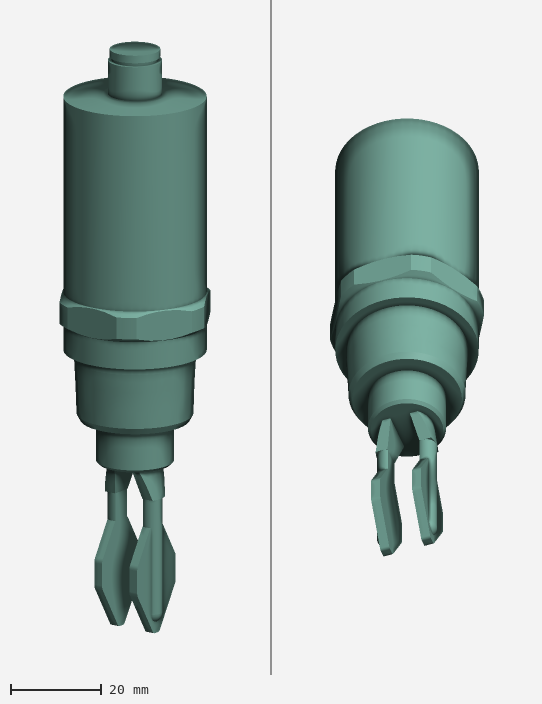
import cadquery as cq
import math

total_height = 132.9
tip_radius = 5.6
tip_bottom = 131.2
groove_radius = 5.2
plug_radius = 6.0
plug_top = 130.4
crown_radius = 7.2
crown_height = 122.7
body_radius = 15.8
body_top = 122.0
collar_bottom = 63.9
thread_radius = 13.4
taper_top = 61.9
taper_end_radius = 12.9
thread_chamfer = 0.8
thread_chamfer_top = 49.5
thread_bottom = 48.0
neck_radius = 8.6
neck_bottom = 38.0
neck_chamfer = 0.7

hex_across_flats = 32.0
hex_corner_diameter = 34.7
hex_corner_radius = hex_corner_diameter / 2
hex_bottom = 70.2
hex_top = 77.2
hex_chamfer_height = 1.0

root_radius = 6.1
root_half_width = 4.5
root_inner = 2.3
prong_inner = 3.7
prong_outer = 6.9
rod_diameter = 4.7
rod_radius = rod_diameter / 2
rod_axis = prong_outer - rod_radius
rod_top = 30.8
rod_end_center = 4.5
selection_margin = 0.7

blade_thickness = 2.1
blade_top = 24.5
blade_half_width = 7.2
blade_wide_top = 16.3
blade_wide_bottom = 10.1
blade_tip_half_width = 1.0
blade_corner_radius = 2.0
blade_tip_corner_radius = 0.8


def make_housing():
    """Revolve the stepped half profile around Z."""
    profile = [
        (0, neck_bottom),
        (neck_radius - neck_chamfer, neck_bottom),
        (neck_radius, neck_bottom + neck_chamfer),
        (neck_radius, thread_bottom),
        (taper_end_radius - thread_chamfer, thread_bottom),
        (taper_end_radius, thread_chamfer_top),
        (thread_radius, taper_top),
        (thread_radius, collar_bottom),
        (body_radius, collar_bottom),
        (body_radius, body_top),
        (crown_radius, crown_height),
        (plug_radius, crown_height),
        (plug_radius, plug_top),
        (groove_radius, plug_top),
        (groove_radius, tip_bottom),
        (tip_radius, tip_bottom),
        (tip_radius, total_height),
        (0, total_height),
    ]
    return cq.Workplane("XZ").polyline(profile).close().revolve(360, (0, 0), (0, 1))


def make_hexagon():
    """Hexagon with flats facing Y, its corners rounded and chamfered by turning."""
    across_corners = hex_across_flats / math.cos(math.pi / 6)
    hexagon = (
        cq.Workplane("XY", origin=(0, 0, hex_bottom))
        .polygon(6, across_corners)
        .extrude(hex_top - hex_bottom)
    )
    turned = (
        cq.Workplane("XY", origin=(0, 0, hex_bottom))
        .circle(hex_corner_radius)
        .extrude(hex_top - hex_bottom)
        .edges()
        .chamfer(hex_chamfer_height, hex_corner_radius - body_radius)
    )
    return hexagon.intersect(turned)


def make_root():
    """Tapered wedge of the +X prong, with a conical outer face about Z."""
    cone = (
        cq.Workplane("XZ")
        .polyline([(0, rod_top), (prong_outer, rod_top), (root_radius, neck_bottom), (0, neck_bottom)])
        .close()
        .revolve(360, (0, 0), (0, 1))
    )
    side_taper = (
        cq.Workplane("YZ")
        .polyline([
            (-rod_radius, rod_top),
            (rod_radius, rod_top),
            (root_half_width, neck_bottom),
            (-root_half_width, neck_bottom),
        ])
        .close()
        .extrude(prong_outer)
    )
    inner_slope = (
        cq.Workplane("XZ")
        .polyline([
            (prong_inner, rod_top),
            (prong_outer, rod_top),
            (prong_outer, neck_bottom),
            (root_inner, neck_bottom),
        ])
        .close()
        .extrude(root_half_width, both=True)
    )
    return cone.intersect(side_taper).intersect(inner_slope)


def make_rod():
    """Round-ended rod with a flat on its inner side."""
    rod = (
        cq.Workplane("XY", origin=(rod_axis, 0, rod_end_center))
        .circle(rod_radius)
        .extrude(rod_top - rod_end_center)
    )
    rounded_end = cq.Workplane("XY", origin=(rod_axis, 0, rod_end_center)).sphere(rod_radius)
    keep = cq.Workplane("XY").box(
        prong_outer - prong_inner, 2 * rod_radius, rod_top, centered=(False, True, False)
    ).translate((prong_inner, 0, 0))
    return rod.union(rounded_end).intersect(keep)


def make_blade():
    """Flat paddle that widens below the rod and narrows to a blunt tip."""
    right_side = [
        (blade_tip_half_width, 0),
        (blade_half_width, blade_wide_bottom),
        (blade_half_width, blade_wide_top),
        (rod_radius, blade_top),
    ]
    left_side = [(-y, z) for y, z in reversed(right_side)]
    blade = (
        cq.Workplane("YZ", origin=(prong_inner, 0, 0))
        .polyline(right_side + left_side)
        .close()
        .extrude(blade_thickness)
    )
    side_corners = blade.edges("|X").edges(
        cq.selectors.BoxSelector(
            (0, -2 * blade_half_width, blade_wide_bottom - selection_margin),
            (2 * prong_outer, 2 * blade_half_width, blade_wide_top + selection_margin),
        )
    )
    blade = side_corners.fillet(blade_corner_radius)
    return blade.faces("<Z").edges("|X").fillet(blade_tip_corner_radius)


prong = make_root().union(make_rod()).union(make_blade())
result = make_housing().union(make_hexagon()).union(prong).union(prong.mirror("YZ"))